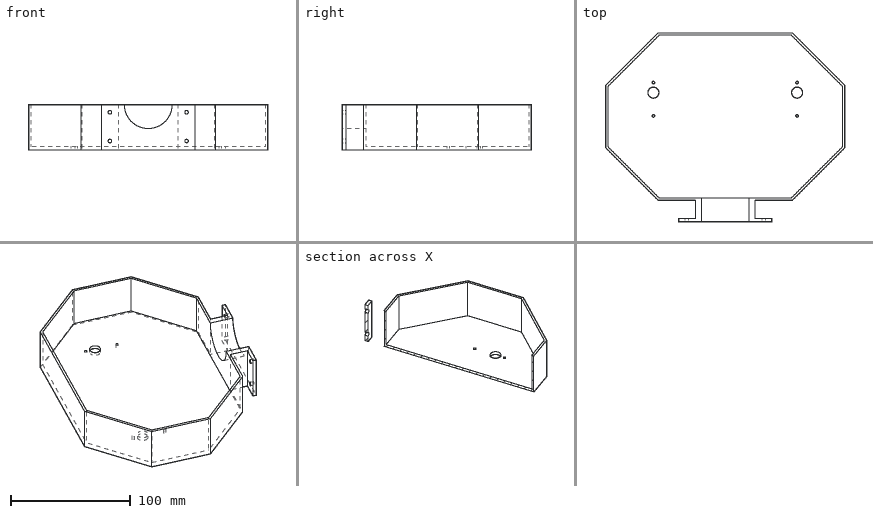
import cadquery as cq

length = 200.0
width = 140.0
height = 38.0
corner_cut = 44.0
wall = 2.0
floor_thickness = 3.0

neck_width = 50.0
neck_reach = 18.0
flange_width = 78.0
flange_thickness = 3.0
channel_diameter = 40.0

flange_hole_diameter = 3.0
flange_hole_spacing_x = 64.0
flange_hole_spacing_z = 24.0
flange_hole_bottom = 7.5

floor_hole_spacing_x = 120.0
large_hole_diameter = 9.0
large_hole_y = 20.0
small_hole_diameter = 2.0
small_hole_ys = (0.5, 28.5)

tray_front = -width / 2
flange_front = tray_front - neck_reach


def octagon_prism(bottom, top):
    """Rectangle with its four upright corners cut at 45 degrees."""
    return (
        cq.Workplane("XY", origin=(0, 0, bottom))
        .rect(length, width)
        .extrude(top - bottom)
        .edges("|Z")
        .chamfer(corner_cut)
    )


def tray_cavity():
    """Space inside the tray, leaving an even wall and the floor."""
    outline = octagon_prism(floor_thickness, height).faces("<Z").wires()
    return outline.toPending().offset2D(-wall).extrude(height, combine=False)


def front_block(block_width, back, front):
    """Full-height block centred on X, between two Y positions."""
    return cq.Workplane("XY").box(
        block_width, back - front, height, centered=(True, False, False)
    ).translate((0, front, 0))


def channel():
    """Half-round channel, open at the top, from the flange into the tray."""
    return (
        cq.Workplane("XZ", origin=(0, flange_front, height))
        .circle(channel_diameter / 2)
        .extrude(-(neck_reach + wall))
    )


def flange_holes():
    hole_centre_z = flange_hole_bottom + flange_hole_spacing_z / 2
    return (
        cq.Workplane("XZ", origin=(0, flange_front, hole_centre_z))
        .rarray(flange_hole_spacing_x, flange_hole_spacing_z, 2, 2)
        .circle(flange_hole_diameter / 2)
        .extrude(-flange_thickness)
    )


def floor_hole_pair(diameter, y):
    """Matching holes through the floor, one on each side of X = 0."""
    half_spacing = floor_hole_spacing_x / 2
    return (
        cq.Workplane("XY")
        .pushPoints([(-half_spacing, y), (half_spacing, y)])
        .circle(diameter / 2)
        .extrude(floor_thickness)
    )


neck = front_block(neck_width, tray_front, flange_front)
flange = front_block(flange_width, flange_front + flange_thickness, flange_front)

result = octagon_prism(0, height).cut(tray_cavity()).union(neck).union(flange)
result = result.cut(channel()).cut(flange_holes())
result = result.cut(floor_hole_pair(large_hole_diameter, large_hole_y))
for small_hole_y in small_hole_ys:
    result = result.cut(floor_hole_pair(small_hole_diameter, small_hole_y))